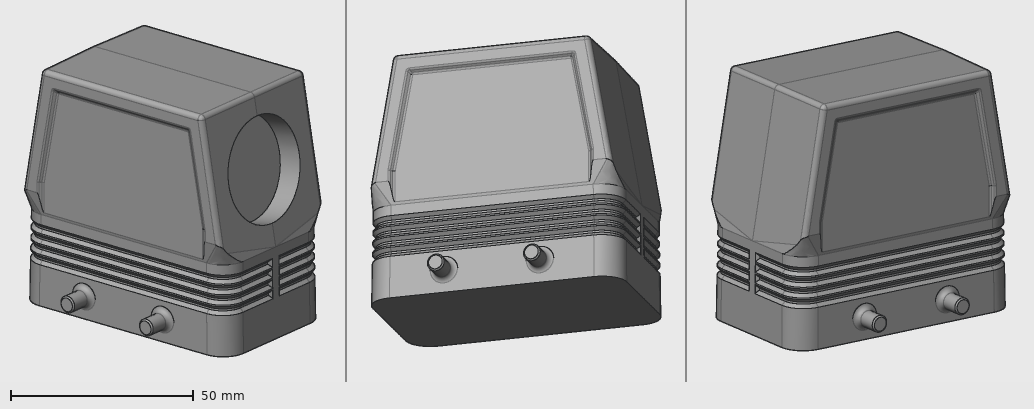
import cadquery as cq
import math

BASE_BOTTOM_X = 36.5
BASE_BOTTOM_Y = 21.6
BASE_TOP_X = 36.1
BASE_TOP_Y = 21.3
BASE_HEIGHT = 26.8
BASE_CORNER_RADIUS = 7.1

TOTAL_HEIGHT = 70.0
HOOD_HALF_Y = 22.5
END_DRAFT = 10.0
END_CROWN = 1.0
ROOF_FALL = 0.2
HOOD_EDGE_RADIUS = 1.45
END_WEDGE_LEAN = 15.0

FLARE_TOP = 33.4
FLARE_TOP_X = 35.0
FLARE_CORNER_RADIUS = 1.6

PANEL_DEPTH = 1.0
PANEL_TOP = 65.1
PANEL_TOP_HALF_X = 24.0
PANEL_KNEE_Z = 36.5
PANEL_KNEE_HALF_X = 29.2
PANEL_EDGE_RADIUS = 0.9
PANEL_CORNER_RADIUS = 0.7

GROOVE_COUNT = 4
GROOVE_TOP = 23.8
GROOVE_BOTTOM = 12.05
GROOVE_DEPTH = 0.95
GROOVE_FLOOR = 0.6
GROOVE_LAND = 0.45
GROOVE_GAP_HALF = 1.45

PIN_X = 13.8
PIN_Z = 6.35
PIN_RADIUS = 2.4
PIN_SPAN = 58.0
PIN_END_Y = PIN_SPAN / 2
PIN_ROOT_RADIUS = 1.6
PIN_TIP_CHAMFER = 0.45

ENTRY_RADIUS = 15.3
ENTRY_Z = 48.55
ENTRY_DEPTH = 7.3

END_SLOPE = math.tan(math.radians(END_DRAFT))
END_FALL = HOOD_HALF_Y * math.tan(math.radians(END_CROWN))

MARGIN = 0.1


def hood_end_x(z):
    """X of the hood end face on the middle plane at height z."""
    return BASE_TOP_X - (z - BASE_HEIGHT) * END_SLOPE


def base_size(z):
    """Half sizes of the drafted base at height z."""
    share = z / BASE_HEIGHT
    half_x = BASE_BOTTOM_X + share * (BASE_TOP_X - BASE_BOTTOM_X)
    half_y = BASE_BOTTOM_Y + share * (BASE_TOP_Y - BASE_BOTTOM_Y)
    return half_x, half_y


def rounded_section(half_x, half_y, radius, z):
    """Rectangle with rounded corners at height z."""
    section = cq.Sketch().rect(2 * half_x, 2 * half_y).vertices().fillet(radius)
    return section.moved(cq.Location(cq.Vector(0, 0, z)))


def base_section(z, inset=0.0):
    """Outline of the base at height z, optionally drawn in by an inset."""
    half_x, half_y = base_size(z)
    return rounded_section(half_x - inset, half_y - inset, BASE_CORNER_RADIUS - inset, z)


def ruled_solid(*sections):
    """Solid with straight flanks through the sections in turn."""
    return cq.Workplane("XY").placeSketch(*sections).loft(ruled=True)


def hood_section(z):
    """Hood outline at height z: a rectangle whose ends are crowned on the middle plane."""
    end_x = hood_end_x(z)
    side_x = end_x - END_FALL
    outline = [
        (end_x, 0), (side_x, HOOD_HALF_Y), (-side_x, HOOD_HALF_Y),
        (-end_x, 0), (-side_x, -HOOD_HALF_Y), (side_x, -HOOD_HALF_Y), (end_x, 0),
    ]
    return cq.Sketch().polygon(outline).moved(cq.Location(cq.Vector(0, 0, z)))


def hood_block():
    """Tapered hood with a ridged roof and rounded corners, before its foot is trimmed."""
    block = ruled_solid(hood_section(BASE_HEIGHT), hood_section(TOTAL_HEIGHT))
    eaves = TOTAL_HEIGHT - ROOF_FALL
    gable = (
        cq.Workplane("YZ")
        .moveTo(-HOOD_HALF_Y, BASE_HEIGHT)
        .lineTo(HOOD_HALF_Y, BASE_HEIGHT)
        .lineTo(HOOD_HALF_Y, eaves)
        .lineTo(0, TOTAL_HEIGHT)
        .lineTo(-HOOD_HALF_Y, eaves)
        .close()
        .extrude(BASE_BOTTOM_X, both=True)
    )
    block = block.intersect(gable)
    middle_edges = cq.selectors.BoxSelector(
        (-BASE_BOTTOM_X, -MARGIN, 0), (BASE_BOTTOM_X, MARGIN, TOTAL_HEIGHT + MARGIN)
    )
    rounded = block.edges("not <Z").edges(cq.selectors.InverseSelector(middle_edges))
    return rounded.fillet(HOOD_EDGE_RADIUS)


def panel_cutter():
    """Recess of the -Y side: 45 degree walls on three sides, open at the bottom."""

    def outline(plane, inset):
        top_x = PANEL_TOP_HALF_X - inset
        knee_x = PANEL_KNEE_HALF_X - inset
        return (
            plane.moveTo(-knee_x, BASE_HEIGHT)
            .lineTo(-knee_x, PANEL_KNEE_Z)
            .lineTo(-top_x, PANEL_TOP - inset)
            .lineTo(top_x, PANEL_TOP - inset)
            .lineTo(knee_x, PANEL_KNEE_Z)
            .lineTo(knee_x, BASE_HEIGHT)
            .close()
        )

    face = outline(cq.Workplane("XZ", origin=(0, -HOOD_HALF_Y, 0)), 0)
    recess = outline(face.workplane(offset=-PANEL_DEPTH), PANEL_DEPTH).loft(ruled=True)
    corners = cq.selectors.BoxSelector(
        (-PANEL_KNEE_HALF_X, -HOOD_HALF_Y + MARGIN, BASE_HEIGHT + MARGIN),
        (PANEL_KNEE_HALF_X, -HOOD_HALF_Y + PANEL_DEPTH - MARGIN, PANEL_TOP),
    )
    return recess.edges(corners).fillet(PANEL_CORNER_RADIUS)


def cut_panels(block):
    """Sink a panel in both long sides and round the rims and the feet of its walls."""
    cutter = panel_cutter()
    block = block.cut(cutter).cut(cutter.mirror("XZ"))
    for side in (-1, 1):
        for y in (side * HOOD_HALF_Y, side * (HOOD_HALF_Y - PANEL_DEPTH)):
            wall_edges = cq.selectors.BoxSelector(
                (-PANEL_KNEE_HALF_X - MARGIN, y - MARGIN, BASE_HEIGHT + MARGIN),
                (PANEL_KNEE_HALF_X + MARGIN, y + MARGIN, PANEL_TOP + MARGIN),
            )
            block = block.edges(wall_edges).fillet(PANEL_EDGE_RADIUS)
    return block


def end_wedges():
    """Block whose ends lean in from the top of the base, filling in under the crowned ends."""
    rise = FLARE_TOP - BASE_HEIGHT
    upper_x = BASE_TOP_X - rise * math.tan(math.radians(END_WEDGE_LEAN))
    return (
        cq.Workplane("XZ")
        .moveTo(-BASE_TOP_X, BASE_HEIGHT)
        .lineTo(BASE_TOP_X, BASE_HEIGHT)
        .lineTo(upper_x, FLARE_TOP)
        .lineTo(-upper_x, FLARE_TOP)
        .close()
        .extrude(BASE_TOP_Y - PANEL_DEPTH, both=True)
    )


def hood():
    """Hood trimmed at its foot to spread from the rounded base to its own sharper corners."""
    widest = rounded_section(FLARE_TOP_X, HOOD_HALF_Y, FLARE_CORNER_RADIUS, FLARE_TOP)
    flare = ruled_solid(base_section(BASE_HEIGHT), widest)
    above = cq.Workplane("XY", origin=(0, 0, FLARE_TOP)).box(
        2 * BASE_BOTTOM_X, 2 * BASE_BOTTOM_X, TOTAL_HEIGHT, centered=(True, True, False)
    )
    return cut_panels(hood_block()).union(end_wedges()).intersect(flare.union(above))


def end_strips():
    """Plain strip up the middle of each end, widening inward at 45 degrees."""
    depth = 2 * GROOVE_DEPTH
    root = GROOVE_GAP_HALF + depth
    outer_x = BASE_BOTTOM_X + MARGIN
    strip = (
        cq.Workplane("XY", origin=(0, 0, GROOVE_BOTTOM))
        .moveTo(BASE_TOP_X - depth, -root)
        .lineTo(BASE_TOP_X, -GROOVE_GAP_HALF)
        .lineTo(outer_x, -GROOVE_GAP_HALF)
        .lineTo(outer_x, GROOVE_GAP_HALF)
        .lineTo(BASE_TOP_X, GROOVE_GAP_HALF)
        .lineTo(BASE_TOP_X - depth, root)
        .close()
        .extrude(GROOVE_TOP - GROOVE_BOTTOM)
    )
    return strip.union(strip.mirror("YZ"))


def base():
    """Drafted skirt with flat-floored V grooves, interrupted by a plain strip at each end."""
    pitch = (GROOVE_TOP - GROOVE_BOTTOM + GROOVE_LAND) / GROOVE_COUNT
    sections = [base_section(0)]
    for groove in range(GROOVE_COUNT):
        lower = GROOVE_BOTTOM + groove * pitch
        upper = lower + pitch - GROOVE_LAND
        middle = (lower + upper) / 2
        sections += [
            base_section(lower),
            base_section(middle - GROOVE_FLOOR / 2, GROOVE_DEPTH),
            base_section(middle + GROOVE_FLOOR / 2, GROOVE_DEPTH),
            base_section(upper),
        ]
    sections.append(base_section(BASE_HEIGHT))
    plain = ruled_solid(base_section(0), base_section(BASE_HEIGHT))
    return ruled_solid(*sections).union(end_strips().intersect(plain))


def locking_pin(x):
    """Pin through both long sides, with a rounded root where it leaves each side."""
    root_y = BASE_BOTTOM_Y - MARGIN
    half = (
        cq.Workplane("XY")
        .lineTo(PIN_RADIUS + PIN_ROOT_RADIUS, 0)
        .lineTo(PIN_RADIUS + PIN_ROOT_RADIUS, root_y)
        .radiusArc((PIN_RADIUS, root_y + PIN_ROOT_RADIUS), PIN_ROOT_RADIUS)
        .lineTo(PIN_RADIUS, PIN_END_Y - PIN_TIP_CHAMFER)
        .lineTo(PIN_RADIUS - PIN_TIP_CHAMFER, PIN_END_Y)
        .lineTo(0, PIN_END_Y)
        .close()
        .revolve(360, (0, 0, 0), (0, 1, 0))
    )
    return half.union(half.mirror("XZ")).translate((x, 0, PIN_Z))


def cable_entry():
    """Cutter for the blind round hole, square to the sloping +X end."""
    axis = cq.Vector(math.cos(math.radians(END_DRAFT)), 0, math.sin(math.radians(END_DRAFT)))
    mouth = cq.Plane(origin=(hood_end_x(ENTRY_Z), 0, ENTRY_Z), xDir=(0, 1, 0), normal=axis.toTuple())
    return (
        cq.Workplane(mouth)
        .workplane(offset=-ENTRY_DEPTH)
        .circle(ENTRY_RADIUS)
        .extrude(2 * ENTRY_DEPTH)
    )


result = base().union(hood())
for pin_x in (-PIN_X, PIN_X):
    result = result.union(locking_pin(pin_x))
result = result.cut(cable_entry())